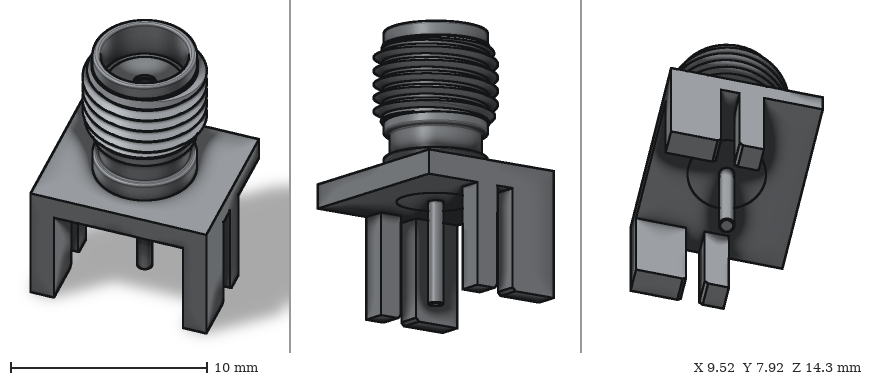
import cadquery as cq
import math


flange_length_x = 9.52
flange_width_y = 7.92
flange_thickness = 1.27
leg_length = 5.38
leg_thickness_x = 1.27
slot_front_y = -1.345
slot_width = 0.965
slot_back_y = slot_front_y + slot_width
rear_leg_width = 1.27
rear_leg_back_y = slot_back_y + rear_leg_width
leg_tip_chamfer = 0.18
flange_bottom_z = -flange_thickness
leg_tip_z = flange_bottom_z - leg_length

barrel_height = 7.62
barrel_radius = 2.67
collar_height = 1.0
neck_radius = 2.365
neck_top_z = 2.26
outer_edge_radius = 0.13
neck_corner_radius = 0.09
mouth_radius = 2.26
mouth_depth = 1.98
mouth_floor_z = barrel_height - mouth_depth

thread_bottom_z = 2.83
thread_top_z = 6.86
thread_root_radius = 2.72
thread_major_radius = 3.175
thread_pitch = 25.4 / 36
ridge_base_width = 0.51
ridge_embed = 0.1
crest_z_at_plus_x = 5.69
thread_end_land = 0.06
ridge_height = thread_major_radius - thread_root_radius

insulator_radius = 2.0
tail_radius = 0.39
tail_tip_chamfer = 0.05
socket_step_radius = 0.585
socket_step_depth = 0.2
socket_radius = 0.485
socket_depth = 2.5


def make_flange():
    return (
        cq.Workplane("XY")
        .box(flange_length_x, flange_width_y, flange_thickness, centered=(True, True, False))
        .translate((0, 0, flange_bottom_z))
    )


def make_leg(front_y, back_y, slot_side, outer_x):
    """Leg between two Y positions; its tip is chamfered on the side facing the slot."""
    leg = cq.Workplane("XY").box(leg_thickness_x, back_y - front_y, leg_length, centered=False)
    leg = leg.faces(slot_side).edges("<Z").chamfer(leg_tip_chamfer)
    return leg.translate((outer_x, front_y, leg_tip_z))


def make_barrel():
    """Collar, neck and threaded section down to the thread root, as one turned profile."""
    r = outer_edge_radius
    n = neck_corner_radius
    arc = math.sqrt(0.5)
    return (
        cq.Workplane("XZ")
        .moveTo(0, 0)
        .lineTo(barrel_radius, 0)
        .lineTo(barrel_radius, collar_height - r)
        .threePointArc(
            (barrel_radius - r + r * arc, collar_height - r + r * arc),
            (barrel_radius - r, collar_height),
        )
        .lineTo(neck_radius + n, collar_height)
        .threePointArc(
            (neck_radius + n - n * arc, collar_height + n - n * arc),
            (neck_radius, collar_height + n),
        )
        .lineTo(neck_radius, neck_top_z - n)
        .threePointArc(
            (neck_radius + n - n * arc, neck_top_z - n + n * arc),
            (neck_radius + n, neck_top_z),
        )
        .lineTo(barrel_radius - r, neck_top_z)
        .threePointArc(
            (barrel_radius - r + r * arc, neck_top_z + r - r * arc),
            (barrel_radius, neck_top_z + r),
        )
        .lineTo(barrel_radius, thread_bottom_z)
        .lineTo(thread_root_radius, thread_bottom_z)
        .lineTo(thread_root_radius, thread_top_z)
        .lineTo(barrel_radius, thread_top_z)
        .lineTo(barrel_radius, barrel_height - r)
        .threePointArc(
            (barrel_radius - r + r * arc, barrel_height - r + r * arc),
            (barrel_radius - r, barrel_height),
        )
        .lineTo(0, barrel_height)
        .close()
        .revolve(360, (0, 0, 0), (0, 1, 0))
    )


def make_thread_ridge():
    """Helical ridge of the thread, trimmed by the two end cones."""
    inner_radius = thread_root_radius - ridge_embed
    outer_radius = thread_major_radius + ridge_embed
    cone_radius = inner_radius - ridge_embed
    cone_run = outer_radius - cone_radius
    cone_bottom_z = thread_bottom_z + thread_end_land - (thread_root_radius - cone_radius)
    cone_top_z = thread_top_z - thread_end_land + (thread_root_radius - cone_radius)
    envelope = (
        cq.Workplane("XZ")
        .moveTo(0, cone_bottom_z)
        .lineTo(cone_radius, cone_bottom_z)
        .lineTo(outer_radius, cone_bottom_z + cone_run)
        .lineTo(outer_radius, cone_top_z - cone_run)
        .lineTo(cone_radius, cone_top_z)
        .lineTo(0, cone_top_z)
        .close()
        .revolve(360, (0, 0, 0), (0, 1, 0))
    )
    turns_below = math.ceil((crest_z_at_plus_x - thread_bottom_z) / thread_pitch) + 1
    turns_above = math.ceil((thread_top_z - crest_z_at_plus_x) / thread_pitch) + 1
    start_z = crest_z_at_plus_x - turns_below * thread_pitch
    helix_height = (turns_below + turns_above) * thread_pitch
    helix = cq.Wire.makeHelix(
        thread_pitch, helix_height, thread_root_radius, center=cq.Vector(0, 0, start_z), lefthand=True
    )
    half_base = ridge_base_width / 2 * (ridge_height + ridge_embed) / ridge_height
    ridge = (
        cq.Workplane("XZ")
        .polyline([
            (inner_radius, start_z - half_base),
            (thread_major_radius, start_z),
            (inner_radius, start_z + half_base),
        ])
        .close()
        .sweep(cq.Workplane(obj=helix), isFrenet=True)
    )
    return ridge.intersect(envelope)


def make_housing():
    housing = make_flange()
    left_x = -flange_length_x / 2
    right_x = flange_length_x / 2 - leg_thickness_x
    for outer_x in (left_x, right_x):
        housing = housing.union(make_leg(-flange_width_y / 2, slot_front_y, ">Y", outer_x))
        housing = housing.union(make_leg(slot_back_y, rear_leg_back_y, "<Y", outer_x))
    housing = housing.union(make_barrel()).union(make_thread_ridge())

    mouth = cq.Workplane("XY", origin=(0, 0, mouth_floor_z)).circle(mouth_radius).extrude(mouth_depth)
    housing = housing.cut(mouth)
    mouth_rim = cq.selectors.RadiusNthSelector(0)
    housing = housing.faces(">Z").edges(mouth_rim).fillet(outer_edge_radius)

    insulator_hole = (
        cq.Workplane("XY", origin=(0, 0, flange_bottom_z))
        .circle(insulator_radius)
        .extrude(mouth_floor_z - flange_bottom_z)
    )
    return housing.cut(insulator_hole)


def make_contact():
    """Insulator plug with a stepped socket in its top and the solder tail below it."""
    plug = (
        cq.Workplane("XY", origin=(0, 0, flange_bottom_z))
        .circle(insulator_radius)
        .extrude(mouth_floor_z - flange_bottom_z)
        .faces(">Z")
        .workplane()
        .cboreHole(2 * socket_radius, 2 * socket_step_radius, socket_step_depth, socket_depth)
    )
    tail = (
        cq.Workplane("XY", origin=(0, 0, leg_tip_z))
        .circle(tail_radius)
        .extrude(leg_length)
        .faces("<Z")
        .chamfer(tail_tip_chamfer)
    )
    return plug.union(tail)


housing = make_housing()
contact = make_contact()

result = cq.Compound.makeCompound([housing.solids().val(), contact.solids().val()])